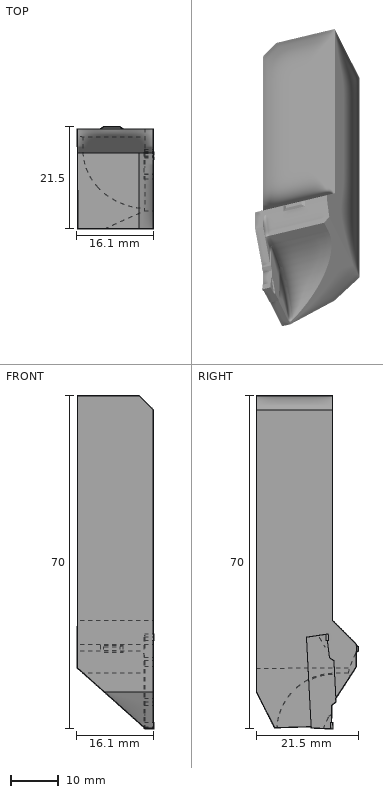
import cadquery as cq
import math

shank_width = 16.0
shank_depth = 16.0
holder_length = 70.0
back_taper = 0.12
top_chamfer = 3.0
head_depth = 21.0
head_reach = head_depth - shank_depth
head_corner_z = 17.8
head_face_bottom_z = 13.1
head_nose = (16.67, 6.4)
nose_z = 0.25
inner_nose_z = 0.5
front_slope_z = 7.8
front_slope_y = 3.8
side_slope_z = 12.85
side_slope_x = 14.15

recess_floor_x = 14.2
recess_radius = 12.25
recess_center = (16.5, -0.5)
recess_fillet = 0.7
recess_corner_y = 19.3
recess_edge_mid = (19.6, 13.0)
recess_edge_top_z = 16.4
outside = 8.0

pad_center_x = 7.25
pad_center_z = 16.85
pad_base = (4.8, 1.5)
pad_top = (3.4, 0.8)
pad_height = 0.47

insert_back_x = 14.0
insert_tilt = 3.0
insert_center_y = 13.75
half_width = 2.75
half_length = 10.0
relieved_half_length = 9.55
tip_u = 1.85
tip_height = 1.4
tip_depth = 0.5
tip_side_rise = 0.12
rake_tip_u = 1.6
rake_end_u = 1.85
rake_end_v = 5.0
rake_step_end_v = 4.35
flank_depth = 0.25
flank_corner = (1.2, 7.0)
flank_end_u = -0.35
flank_radius = 1.0

tilt = math.radians(insert_tilt)
insert_center_z = half_length * math.cos(tilt) - tip_u * math.sin(tilt)


def holder_blank():
    side_outline = [
        (0, front_slope_z),
        (0, holder_length),
        (shank_depth, holder_length),
        (shank_depth, head_corner_z + head_reach),
        (head_depth, head_corner_z),
        (head_depth, head_face_bottom_z),
        head_nose,
        (insert_center_y - half_width / 2, inner_nose_z),
        (front_slope_y, nose_z),
    ]
    front_outline = [
        (0, side_slope_z),
        (0, holder_length),
        (shank_width - top_chamfer, holder_length),
        (shank_width, holder_length - top_chamfer),
        (shank_width, nose_z),
        (side_slope_x, nose_z),
    ]
    plan_outline = [
        (back_taper, 0),
        (shank_width, 0),
        (shank_width, head_depth),
        (0, head_depth),
    ]
    side = cq.Workplane("YZ").polyline(side_outline).close().extrude(shank_width)
    front = cq.Workplane("XZ").polyline(front_outline).close().extrude(-head_depth)
    plan = cq.Workplane("XY").polyline(plan_outline).close().extrude(holder_length)
    return side.intersect(front).intersect(plan)


def clearance_recess():
    """Cutter open to -X, with a round wall and a filleted floor."""
    center_y, center_z = recess_center
    wall_z = center_z + recess_radius
    edge_slope = (recess_edge_top_z - recess_edge_mid[1]) / (head_depth - recess_edge_mid[0])
    edge_run = 2.0
    diagonal = recess_radius * math.sqrt(0.5)
    return (
        cq.Workplane("YZ", origin=(-outside, 0, 0))
        .moveTo(center_y - recess_radius, -outside)
        .lineTo(center_y - recess_radius, center_z)
        .threePointArc((center_y - diagonal, center_z + diagonal), (center_y, wall_z))
        .lineTo(recess_corner_y, wall_z)
        .lineTo(*recess_edge_mid)
        .lineTo(head_depth + edge_run, recess_edge_top_z + edge_run * edge_slope)
        .lineTo(head_depth + outside, recess_edge_top_z + edge_run * edge_slope)
        .lineTo(head_depth + outside, -outside)
        .close()
        .extrude(recess_floor_x + outside)
        .faces(">X")
        .edges()
        .fillet(recess_fillet)
    )


def head_pad():
    """Small tapered pad on the +Y face of the head."""
    return (
        cq.Workplane("XZ", origin=(pad_center_x, head_depth, pad_center_z))
        .rect(*pad_base)
        .workplane(offset=-pad_height)
        .rect(*pad_top)
        .loft()
    )


def insert_plane(x):
    """Workplane across X whose axes run across and along the insert."""
    across = (0, math.cos(tilt), math.sin(tilt))
    return cq.Workplane(cq.Plane((x, insert_center_y, insert_center_z), across, (1, 0, 0)))


def double_ended_insert():
    lower_edge = [
        (-half_width, -relieved_half_length),
        (tip_u, -half_length),
        (tip_u, tip_height - half_length),
        (rake_tip_u, tip_height - half_length),
        (rake_end_u, -rake_end_v),
        (half_width, -rake_step_end_v),
    ]
    upper_edge = [(u, -v) for u, v in reversed(lower_edge)]
    body = (
        insert_plane(insert_back_x)
        .polyline(lower_edge + upper_edge)
        .close()
        .extrude(shank_width - insert_back_x)
    )

    end_slope = (half_length - relieved_half_length) / (tip_u + half_width)
    tip_inner_u = tip_u - tip_depth
    tip_inner_end = half_length - end_slope * tip_depth
    corner_u, corner_v = flank_corner
    for end in (-1, 1):
        tip_rise = (
            insert_plane(shank_width)
            .moveTo(tip_inner_u, end * tip_inner_end)
            .lineTo(tip_u, end * half_length)
            .lineTo(tip_u, end * (half_length - tip_height))
            .lineTo(tip_inner_u, end * (half_length - tip_height))
            .close()
            .extrude(tip_side_rise)
        )
        flank = (
            insert_plane(insert_back_x)
            .moveTo(half_width, end * corner_v)
            .lineTo(corner_u, end * corner_v)
            .lineTo(flank_end_u, end * half_length)
            .lineTo(half_width, end * half_length)
            .close()
            .extrude(flank_depth)
            .edges(cq.selectors.NearestToPointSelector(
                insert_plane(insert_back_x + flank_depth / 2)
                .plane.toWorldCoords((corner_u, end * corner_v, 0)).toTuple()))
            .fillet(flank_radius)
        )
        body = body.union(tip_rise).cut(flank)
    return body


insert = double_ended_insert()

holder = holder_blank().cut(clearance_recess()).union(head_pad()).cut(insert)

result = cq.Compound.makeCompound([*holder.solids().vals(), *insert.solids().vals()])